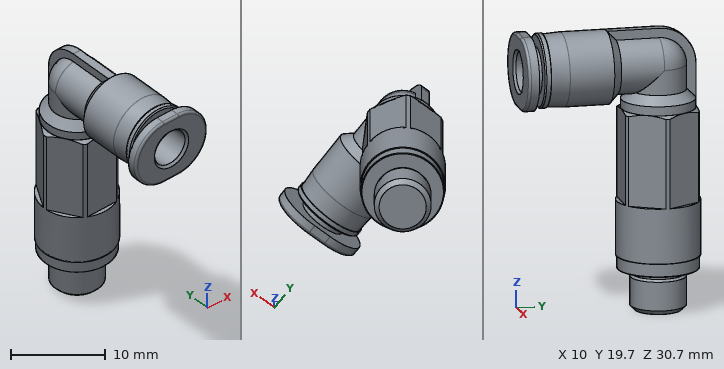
import cadquery as cq

total_height = 30.7
shell_radius = 4.0
arm_axis_z = total_height - shell_radius
elbow_radius = 3.0
rib_thickness = 1.05

thread_radius = 3.0
thread_chamfer = 0.52
thread_top_z = 3.65
relief_start_z = 3.9
relief_radius = 2.75
shoulder_bottom_z = 4.5
shoulder_radius = 4.4
shoulder_chamfer = 0.1
body_bottom_z = 6.0
body_radius = 4.5
hex_bottom_z = 12.0
hex_top_z = 22.05
hex_across_flats = 8.05
hex_turn = 30.0
hex_chamfer_height = 0.28
collar_top_z = 23.02
collar_cone_top_z = collar_top_z + shell_radius - elbow_radius

shell_start = 5.65
cone_start = shell_start - (shell_radius - elbow_radius)
taper_start = 10.47
taper_end = 12.5
taper_end_radius = 3.87
shell_end = 13.17
shell_end_chamfer = 0.15
release_neck_radius = 2.58
release_plate_start = 14.03
release_plate_end = 15.2
release_plate_width = 10.0
release_plate_edge_fillet = 0.28

socket_radius = 2.12
socket_depth = 9.55
socket_chamfer = 0.28


def make_stem():
    """Revolve the round steps of the stem, from the thread to the elbow."""
    profile = [
        (0, 0),
        (thread_radius - thread_chamfer, 0),
        (thread_radius, thread_chamfer),
        (thread_radius, thread_top_z),
        (relief_radius, relief_start_z),
        (relief_radius, shoulder_bottom_z),
        (shoulder_radius - shoulder_chamfer, shoulder_bottom_z),
        (shoulder_radius, shoulder_bottom_z + shoulder_chamfer),
        (shoulder_radius, body_bottom_z),
        (body_radius, body_bottom_z),
        (body_radius, hex_bottom_z),
        (shell_radius, hex_bottom_z),
        (shell_radius, collar_top_z),
        (elbow_radius, collar_cone_top_z),
        (elbow_radius, arm_axis_z),
        (0, arm_axis_z),
    ]
    return cq.Workplane("XZ").polyline(profile).close().revolve(360, (0, 0), (0, 1))


def make_hex():
    """Hexagon with flats facing +Y and -Y, its corners turned round and chamfered at the top."""
    hexagon = (
        cq.Workplane("XY")
        .workplane(offset=hex_bottom_z)
        .polygon(6, hex_across_flats, circumscribed=True)
        .extrude(hex_top_z - hex_bottom_z)
        .rotate((0, 0, 0), (0, 0, 1), hex_turn)
    )
    envelope_profile = [
        (0, hex_bottom_z),
        (body_radius, hex_bottom_z),
        (body_radius, hex_top_z - hex_chamfer_height),
        (hex_across_flats / 2, hex_top_z),
        (0, hex_top_z),
    ]
    envelope = cq.Workplane("XZ").polyline(envelope_profile).close().revolve(360, (0, 0), (0, 1))
    return hexagon.intersect(envelope)


def make_arm():
    """Revolve the arm, from the elbow to the neck of the release ring."""
    profile = [
        (0, 0),
        (0, elbow_radius),
        (-cone_start, elbow_radius),
        (-shell_start, shell_radius),
        (-taper_start, shell_radius),
        (-taper_end, taper_end_radius),
        (-taper_end, shell_radius),
        (-shell_end + shell_end_chamfer, shell_radius),
        (-shell_end, shell_radius - shell_end_chamfer),
        (-shell_end, release_neck_radius),
        (-release_plate_start, release_neck_radius),
        (-release_plate_start, 0),
    ]
    arm = cq.Workplane("YZ").polyline(profile).close().revolve(360, (0, 0), (1, 0))
    return arm.translate((0, 0, arm_axis_z))


def make_release_plate():
    """Oblong push plate with a rounded outer edge."""
    return (
        cq.Workplane("XZ", origin=(0, -release_plate_start, arm_axis_z))
        .slot2D(release_plate_width, 2 * shell_radius)
        .extrude(release_plate_end - release_plate_start)
        .faces("<Y")
        .edges()
        .fillet(release_plate_edge_fillet)
    )


def make_rib():
    """Thin web around the outside of the elbow, from the collar to the arm shell."""
    arc_middle = shell_radius * 0.5**0.5
    return (
        cq.Workplane("YZ")
        .moveTo(0, collar_top_z)
        .lineTo(shell_radius, collar_top_z)
        .lineTo(shell_radius, arm_axis_z)
        .threePointArc((arc_middle, arm_axis_z + arc_middle), (0, total_height))
        .lineTo(-shell_start, total_height)
        .lineTo(-shell_start, arm_axis_z)
        .lineTo(0, arm_axis_z)
        .close()
        .extrude(rib_thickness / 2, both=True)
    )


def make_socket():
    """Blind tube socket with a chamfered mouth, to be cut from the arm."""
    mouth_radius = socket_radius + socket_chamfer
    profile = [
        (-release_plate_end, 0),
        (-release_plate_end, mouth_radius),
        (-release_plate_end + socket_chamfer, socket_radius),
        (-release_plate_end + socket_depth, socket_radius),
        (-release_plate_end + socket_depth, 0),
    ]
    socket = cq.Workplane("YZ").polyline(profile).close().revolve(360, (0, 0), (1, 0))
    return socket.translate((0, 0, arm_axis_z))


elbow_ball = cq.Workplane("XY").sphere(elbow_radius).translate((0, 0, arm_axis_z))

result = (
    make_stem()
    .union(make_hex())
    .union(elbow_ball)
    .union(make_arm())
    .union(make_release_plate())
    .union(make_rib())
    .cut(make_socket())
)